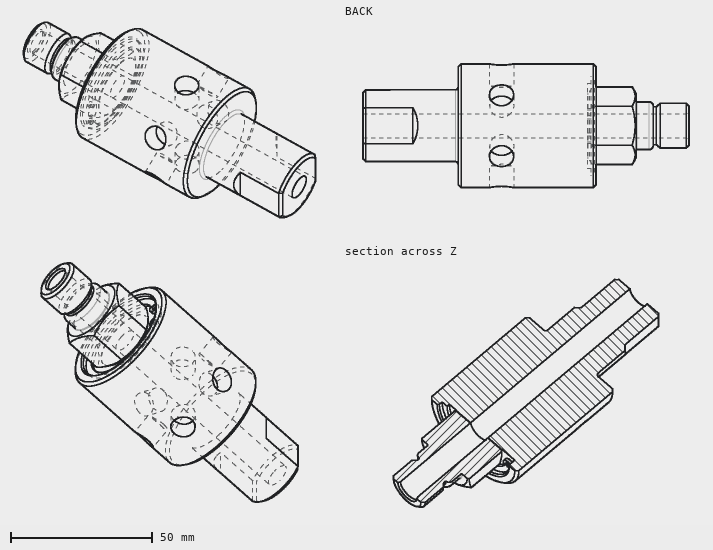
import cadquery as cq
import math

OVERALL_LENGTH = 115.0
BORE_DIAMETER = 8.6
EDGE_CHAMFER = 1.0

NIPPLE_DIAMETER = 15.9
NIPPLE_LENGTH = 10.1
MOUTH_DIAMETER = 9.3
MOUTH_DEPTH = 0.9
GROOVE_DIAMETER = 13.5
GROOVE_TAPER_LENGTH = 1.4
COLLAR_START = 12.5
COLLAR_DIAMETER = 16.9
COLLAR_ROUNDING = 1.6
COLLAR_ROOT_FILLET = 0.2
HEX_START = 18.6
HEX_ACROSS_FLATS = 23.8
HEX_FACE_DIAMETER = 22.5
HEX_CHAMFER_ANGLE = 30.0
HEX_SEAT_LENGTH = 0.2

BARREL_START = 32.8
BARREL_END = 81.4
BARREL_DIAMETER = 43.7
SHANK_DIAMETER = 25.4
SHANK_ROOT_FILLET = 1.0
FLATS_START = 97.4
SHANK_ACROSS_FLATS = 22.0

RECESS_DIAMETER = 35.1
RECESS_CHAMFER = 0.6
RING_SETBACK = 2.0
RING_THICKNESS = 1.2
RING_INNER_DIAMETER = 30.1
LUG_HOLE_DIAMETER = 2.0
LUG_RADIUS = 2.2
LUG_OFFSET_Y = 15.3
LUG_OFFSET_Z = 4.6

RADIAL_HOLE_COUNT = 6
RADIAL_HOLE_DIAMETER = 8.5
RADIAL_HOLE_X = 66.1
CORE_DIAMETER = 28.3

RING_START = BARREL_START + RING_SETBACK
RECESS_FLOOR = RING_START + RING_THICKNESS
BORE_RADIUS = BORE_DIAMETER / 2


def cylinder(diameter, start, end):
    """Solid cylinder on the X axis between two X positions."""
    return cq.Workplane("YZ", origin=(start, 0, 0)).circle(diameter / 2).extrude(end - start)


def turned(outline):
    """Revolve a closed outline of the XY plane about the X axis."""
    return outline.close().revolve(360, (0, 0, 0), (1, 0, 0))


def make_nipple():
    nipple_radius = NIPPLE_DIAMETER / 2
    groove_radius = GROOVE_DIAMETER / 2
    collar_radius = COLLAR_DIAMETER / 2
    mouth_radius = MOUTH_DIAMETER / 2
    return turned(
        cq.Workplane("XY")
        .moveTo(0, mouth_radius)
        .lineTo(0, nipple_radius - EDGE_CHAMFER)
        .lineTo(EDGE_CHAMFER, nipple_radius)
        .lineTo(NIPPLE_LENGTH, nipple_radius)
        .lineTo(NIPPLE_LENGTH + GROOVE_TAPER_LENGTH, groove_radius)
        .lineTo(COLLAR_START, groove_radius)
        .lineTo(COLLAR_START, collar_radius - COLLAR_ROUNDING)
        .radiusArc((COLLAR_START + COLLAR_ROUNDING, collar_radius), COLLAR_ROUNDING)
        .lineTo(HEX_START - COLLAR_ROOT_FILLET, collar_radius)
        .radiusArc((HEX_START, collar_radius + COLLAR_ROOT_FILLET), -COLLAR_ROOT_FILLET)
        .lineTo(HEX_START, BORE_RADIUS)
        .lineTo(MOUTH_DEPTH, BORE_RADIUS)
    )


def make_hexagon():
    """Hexagon with corners up and down, chamfered by a cone at each end, on a short round seat."""
    across_corners = HEX_ACROSS_FLATS / math.cos(math.radians(30))
    length = RECESS_FLOOR - HEX_START
    prism = (
        cq.Workplane("YZ", origin=(HEX_START, 0, 0))
        .polygon(6, across_corners)
        .extrude(length)
        .rotate((0, 0, 0), (1, 0, 0), 30)
    )
    face_radius = HEX_FACE_DIAMETER / 2
    corner_radius = across_corners / 2
    chamfer_length = (corner_radius - face_radius) * math.tan(math.radians(HEX_CHAMFER_ANGLE))
    seat_start = RECESS_FLOOR - HEX_SEAT_LENGTH
    envelope = turned(
        cq.Workplane("XY")
        .moveTo(HEX_START, BORE_RADIUS)
        .lineTo(HEX_START, face_radius)
        .lineTo(HEX_START + chamfer_length, corner_radius)
        .lineTo(seat_start - chamfer_length, corner_radius)
        .lineTo(seat_start, face_radius)
        .lineTo(RECESS_FLOOR, face_radius)
        .lineTo(RECESS_FLOOR, BORE_RADIUS)
    )
    return prism.intersect(envelope)


def make_rotor():
    return make_nipple().union(make_hexagon())


def make_barrel_and_shank():
    barrel_radius = BARREL_DIAMETER / 2
    shank_radius = SHANK_DIAMETER / 2
    recess_radius = RECESS_DIAMETER / 2
    return turned(
        cq.Workplane("XY")
        .moveTo(RECESS_FLOOR, 0)
        .lineTo(RECESS_FLOOR, recess_radius)
        .lineTo(BARREL_START + RECESS_CHAMFER, recess_radius)
        .lineTo(BARREL_START, recess_radius + RECESS_CHAMFER)
        .lineTo(BARREL_START, barrel_radius - EDGE_CHAMFER)
        .lineTo(BARREL_START + EDGE_CHAMFER, barrel_radius)
        .lineTo(BARREL_END - EDGE_CHAMFER, barrel_radius)
        .lineTo(BARREL_END, barrel_radius - EDGE_CHAMFER)
        .lineTo(BARREL_END, shank_radius + SHANK_ROOT_FILLET)
        .radiusArc((BARREL_END + SHANK_ROOT_FILLET, shank_radius), -SHANK_ROOT_FILLET)
        .lineTo(OVERALL_LENGTH, shank_radius)
        .lineTo(OVERALL_LENGTH, 0)
    )


def make_flat_cutters():
    """Material removed on both sides of the shank, with 45 degree run-outs."""
    flat_y = SHANK_ACROSS_FLATS / 2
    clear_y = SHANK_DIAMETER
    side = (
        cq.Workplane("XY")
        .moveTo(OVERALL_LENGTH, flat_y)
        .lineTo(FLATS_START, flat_y)
        .lineTo(FLATS_START - (clear_y - flat_y), clear_y)
        .lineTo(OVERALL_LENGTH, clear_y)
        .close()
        .extrude(SHANK_DIAMETER, both=True)
    )
    return side.union(side.mirror("XZ"))


def make_radial_hole_cutters():
    drill = (
        cq.Workplane("XY", origin=(RADIAL_HOLE_X, 0, 0))
        .circle(RADIAL_HOLE_DIAMETER / 2)
        .extrude(BARREL_DIAMETER)
    )
    drills = cq.Workplane("XY")
    for index in range(RADIAL_HOLE_COUNT):
        angle = 360 / RADIAL_HOLE_COUNT * index
        drills = drills.add(drill.rotate((0, 0, 0), (1, 0, 0), angle))
    core = cylinder(CORE_DIAMETER, BARREL_START, BARREL_END)
    return drills.combine().cut(core)


def make_retaining_ring():
    """Open ring with two drilled lugs beside its gap on the -Y side."""
    plane = cq.Workplane("YZ", origin=(RING_START, 0, 0))
    rim_y = RECESS_DIAMETER / 2
    ring = plane.circle(rim_y).circle(RING_INNER_DIAMETER / 2).extrude(RING_THICKNESS)
    gap = plane.center(-rim_y, 0).rect(rim_y, 2 * LUG_OFFSET_Z).extrude(RING_THICKNESS)
    ring = ring.cut(gap)

    lug_centers = [(-LUG_OFFSET_Y, LUG_OFFSET_Z), (-LUG_OFFSET_Y, -LUG_OFFSET_Z)]
    lugs = plane.pushPoints(lug_centers).circle(LUG_RADIUS).extrude(RING_THICKNESS)
    lug_backs = (
        plane.pushPoints([(y - LUG_RADIUS, z) for y, z in lug_centers])
        .rect(2 * LUG_RADIUS, 2 * LUG_RADIUS)
        .extrude(RING_THICKNESS)
    )
    recess_space = cylinder(RECESS_DIAMETER, RING_START, RECESS_FLOOR)
    ring = ring.union(lugs.union(lug_backs).intersect(recess_space))
    holes = plane.pushPoints(lug_centers).circle(LUG_HOLE_DIAMETER / 2).extrude(RING_THICKNESS)
    return ring.cut(holes)


def make_housing():
    housing = make_barrel_and_shank().cut(make_flat_cutters())
    housing = housing.faces(">X").chamfer(EDGE_CHAMFER)
    housing = housing.cut(cylinder(BORE_DIAMETER, RECESS_FLOOR, OVERALL_LENGTH))
    housing = housing.cut(make_radial_hole_cutters())
    return housing.union(make_retaining_ring())


rotor = make_rotor()
housing = make_housing()
result = cq.Compound.makeCompound([rotor.val(), housing.val()])